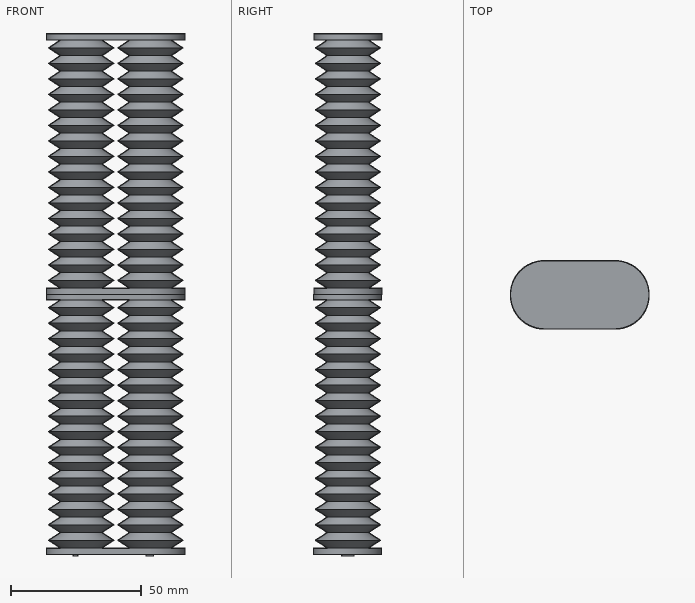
import cadquery as cq

PLATE_WIDTH = 26.16
PLATE_LENGTH = 53.16
PLATE_THICKNESS = 2.5
MIDDLE_LOWER_THICKNESS = 2.0
RIDGE_RADIUS = 12.5
VALLEY_RADIUS = 8.0
BELLOWS_SPACING = 26.5
BELLOWS_HEIGHT = 95.0
RIDGE_COUNT = 16
LOWER_PLATE_SHIFT = -0.13
PAD_HEIGHT = 0.6
PAD_DEPTH = 4.8
LEFT_PAD_X = -15.4
LEFT_PAD_WIDTH = 1.8
RIGHT_PAD_X = 13.0
RIGHT_PAD_WIDTH = 3.0

LOWER_BELLOWS_Z = PLATE_THICKNESS
MIDDLE_LOWER_Z = LOWER_BELLOWS_Z + BELLOWS_HEIGHT
MIDDLE_UPPER_Z = MIDDLE_LOWER_Z + MIDDLE_LOWER_THICKNESS
UPPER_BELLOWS_Z = MIDDLE_UPPER_Z + PLATE_THICKNESS
TOP_PLATE_Z = UPPER_BELLOWS_Z + BELLOWS_HEIGHT


def plate(bottom_z, thickness, shift_y=0):
    """Flat plate with fully rounded ends."""
    return (
        cq.Workplane("XY", origin=(0, shift_y, bottom_z))
        .slot2D(PLATE_LENGTH, PLATE_WIDTH)
        .extrude(thickness)
    )


def bellows(axis_x, bottom_z):
    """Solid bellows column: sharp ridges between equal valleys."""
    pitch = BELLOWS_HEIGHT / RIDGE_COUNT
    profile = cq.Workplane("XZ", origin=(axis_x, 0, bottom_z)).lineTo(VALLEY_RADIUS, 0)
    for ridge in range(RIDGE_COUNT):
        profile = profile.lineTo(RIDGE_RADIUS, (ridge + 0.5) * pitch)
        profile = profile.lineTo(VALLEY_RADIUS, (ridge + 1) * pitch)
    return profile.lineTo(0, BELLOWS_HEIGHT).close().revolve(360, (0, 0), (0, 1))


def pad(center_x, width):
    """Thin rectangular pad on the underside of the bottom plate."""
    return (
        cq.Workplane("XY", origin=(center_x, 0, -PAD_HEIGHT))
        .rect(width, PAD_DEPTH)
        .extrude(PAD_HEIGHT)
    )


result = plate(0, PLATE_THICKNESS, LOWER_PLATE_SHIFT)
result = result.union(plate(MIDDLE_LOWER_Z, MIDDLE_LOWER_THICKNESS, LOWER_PLATE_SHIFT))
result = result.union(plate(MIDDLE_UPPER_Z, PLATE_THICKNESS))
result = result.union(plate(TOP_PLATE_Z, PLATE_THICKNESS))
for level in (LOWER_BELLOWS_Z, UPPER_BELLOWS_Z):
    for side in (-1, 1):
        result = result.union(bellows(side * BELLOWS_SPACING / 2, level))
result = result.union(pad(LEFT_PAD_X, LEFT_PAD_WIDTH))
result = result.union(pad(RIGHT_PAD_X, RIGHT_PAD_WIDTH))